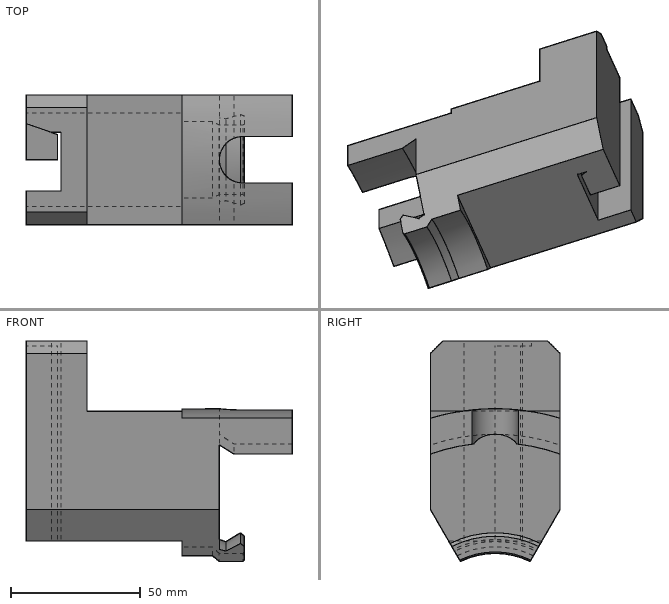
import cadquery as cq
import math

length = 102.5
width = 50.0
height = 84.9
half_width = width / 2

tower_length = 23.5
shoulder_z = 57.9
body_bottom_z = 7.9
foot_start_x = 60.0
wall_x = 74.4

top_chamfer = 4.8
bottom_half_width = 13.4
taper_angle = 30.0
taper_top_z = (half_width - bottom_half_width) / math.tan(math.radians(taper_angle))

turning_axis_z = -27.7

arm_radius = 86.5
arm_inner_radius = 73.4
undercut_radius = 76.7
undercut_end_x = 80.0
arm_overlap = 6.2
fork_radius = 8.9
arm_bottom_z = math.sqrt(arm_inner_radius**2 - half_width**2) + turning_axis_z

foot_radius = 33.3
hook_radius = math.hypot(bottom_half_width, turning_axis_z)
hook_ramp_start_x = 71.8
hook_ramp_end_x = 74.3
hook_end_x = 84.0
hook_bevel = 0.6
groove_x = 76.9
groove_radius = 35.4
groove_wall_radius = 36.2
lip_x = 82.5
lip_radius = 38.7
lip_outer_radius = 37.4
foot_overlap = 6.2

slot_depth = 13.4
slot_front_y = -12.0
slot_back_y = 10.6
tongue_length = 12.1
tongue_drop = 1.9
tongue_back_y = 13.9
tongue_tip_y = 9.7
tongue_slope = (tongue_tip_y - tongue_back_y) / tongue_length
tongue_joint_x = (slot_back_y - tongue_back_y) / tongue_slope


def make_body():
    """L-shaped block up to the shoulder, lowered where the arm joins it."""
    outline = [
        (0, body_bottom_z),
        (wall_x, body_bottom_z),
        (wall_x, arm_bottom_z),
        (foot_start_x, arm_bottom_z),
        (foot_start_x, shoulder_z),
        (tower_length, shoulder_z),
        (tower_length, height),
        (0, height),
    ]
    return cq.Workplane("XZ").polyline(outline).close().extrude(half_width, both=True)


def turn_profile(profile):
    """Turn (x, radius) points about the common axis."""
    ring = cq.Workplane("XY").polyline(profile).close().revolve(360, (0, 0), (1, 0))
    return ring.translate((0, 0, turning_axis_z))


def make_arm():
    """Arched arm with an undercut next to the wall."""
    body_overlap_radius = arm_inner_radius - arm_overlap
    profile = [
        (foot_start_x, body_overlap_radius),
        (wall_x, body_overlap_radius),
        (wall_x, undercut_radius),
        (undercut_end_x, arm_inner_radius),
        (length, arm_inner_radius),
        (length, arm_radius),
        (foot_start_x, arm_radius),
    ]
    return turn_profile(profile)


def make_foot():
    """Arched foot and hook below the wall."""
    body_overlap_radius = body_bottom_z - turning_axis_z + foot_overlap
    profile = [
        (foot_start_x, foot_radius),
        (hook_ramp_start_x, foot_radius),
        (hook_ramp_end_x, hook_radius),
        (hook_end_x - hook_bevel, hook_radius),
        (hook_end_x, hook_radius + hook_bevel),
        (hook_end_x, lip_outer_radius),
        (lip_x, lip_radius),
        (groove_x, groove_radius),
        (wall_x, groove_wall_radius),
        (wall_x, body_overlap_radius),
        (foot_start_x, body_overlap_radius),
    ]
    return turn_profile(profile)


def make_envelope():
    """Common cross-section: chamfered at the top and tapered at the bottom."""
    section = [
        (-bottom_half_width, 0),
        (bottom_half_width, 0),
        (half_width, taper_top_z),
        (half_width, height - top_chamfer),
        (half_width - top_chamfer, height),
        (top_chamfer - half_width, height),
        (-half_width, height - top_chamfer),
        (-half_width, taper_top_z),
    ]
    return cq.Workplane("YZ").polyline(section).close().extrude(length)


def make_fork_cutter():
    """Round-ended slot through the arm, tangent to the wall below it."""
    center_x = wall_x + fork_radius
    return (
        cq.Workplane("XY", origin=(0, 0, arm_bottom_z))
        .moveTo(length, -fork_radius)
        .lineTo(center_x, -fork_radius)
        .threePointArc((wall_x, 0), (center_x, fork_radius))
        .lineTo(length, fork_radius)
        .close()
        .extrude(height - arm_bottom_z)
    )


def make_tower_slot():
    """Through slot that leaves the tongue standing."""
    outline = [
        (0, slot_front_y),
        (slot_depth, slot_front_y),
        (slot_depth, slot_back_y),
        (tongue_joint_x, slot_back_y),
        (tongue_length, tongue_tip_y),
        (tongue_length, 0),
        (0, 0),
    ]
    return cq.Workplane("XY").polyline(outline).close().extrude(height)


def make_tongue_recess():
    """Shallow recess that lowers the top of the tongue."""
    outline = [
        (0, 0),
        (tongue_length, 0),
        (tongue_length, tongue_tip_y),
        (0, tongue_back_y),
    ]
    return (
        cq.Workplane("XY", origin=(0, 0, height - tongue_drop))
        .polyline(outline)
        .close()
        .extrude(tongue_drop)
    )


envelope = make_envelope()
arm = make_arm().intersect(envelope)
foot = make_foot().intersect(envelope)
result = (
    make_body()
    .intersect(envelope)
    .union(arm)
    .union(foot)
    .cut(make_fork_cutter())
    .cut(make_tower_slot())
    .cut(make_tongue_recess())
)